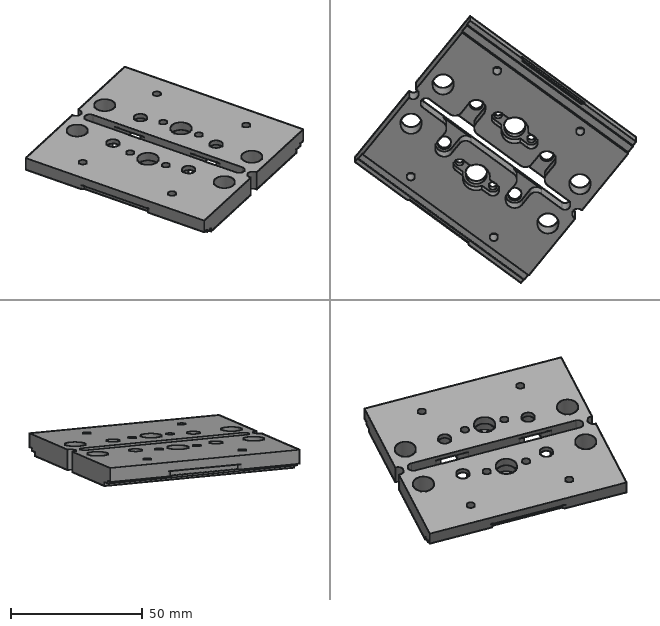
import cadquery as cq
import math

length = 80.0
width = 72.0
height = 8.0

edge_steps = [(2.0, 2.6), (5.0, 1.5)]

recess_length = 30.4
recess_depth = 0.8
recess_end_radius = 1.0
recess_top = 4.5

slot_width = 4.2
slot_length = 71.0
end_web = 2.0
notch_depth = (length - slot_length) / 2 - end_web

middle_hole_x = 17.0
passage_row_y = 10.0
small_hole_x = 8.0
centre_row_y = 12.0

through_holes = [
    (8.1, 33.0, passage_row_y),
    (5.1, middle_hole_x, passage_row_y),
    (8.2, 0.0, centre_row_y),
    (3.1, small_hole_x, centre_row_y),
    (3.1, 20.0, 27.0),
]

passage_width = 7.0
passage_height = 6.0
passage_flare_radius = 3.0

pocket_diameter = 10.4
ear_width = 5.0
pocket_height = 4.5


def mirrored_points(x, y):
    """The distinct mirror images of a point about both centre planes."""
    return [(px, py) for px in sorted({x, -x}) for py in (-y, y)]


def box_on_base(size_x, size_y, size_z):
    return cq.Workplane("XY").box(size_x, size_y, size_z, centered=(True, True, False))


def edge_step(side, inset, top):
    return box_on_base(length, inset, top).translate((0, side * (width - inset) / 2, 0))


def side_recess(side):
    """Recess whose ends are convex arcs running out tangentially into the side face."""
    floor_angle = math.acos(1 - recess_depth / recess_end_radius)

    def end_arc_point(angle):
        x = recess_length / 2 - recess_end_radius * math.sin(angle)
        y = width / 2 - recess_end_radius * (1 - math.cos(angle))
        return x, side * y

    outer_x, outer_y = end_arc_point(0)
    middle_x, middle_y = end_arc_point(floor_angle / 2)
    inner_x, inner_y = end_arc_point(floor_angle)
    profile = (
        cq.Workplane("XY")
        .moveTo(-outer_x, outer_y)
        .threePointArc((-middle_x, middle_y), (-inner_x, inner_y))
        .lineTo(inner_x, inner_y)
        .threePointArc((middle_x, middle_y), (outer_x, outer_y))
        .close()
    )
    return profile.extrude(recess_top)


def end_notch(side):
    end_face = cq.Workplane("XY").center(side * length / 2, 0)
    return end_face.slot2D(2 * notch_depth, slot_width).extrude(height)


def slot_passage(x, y):
    """Round-ended passage from a middle hole to the slot, its mouth flared by two convex arcs."""
    side = math.copysign(1, y)
    half_width = passage_width / 2
    mouth_half_width = half_width + passage_flare_radius
    mouth_y = side * slot_width / 2
    flare_start_y = mouth_y + side * passage_flare_radius
    arc_reach = passage_flare_radius * math.sqrt(0.5)
    arc_half_width = mouth_half_width - arc_reach
    arc_y = flare_start_y - side * arc_reach
    return (
        cq.Workplane("XY")
        .moveTo(x - mouth_half_width, mouth_y)
        .threePointArc((x - arc_half_width, arc_y), (x - half_width, flare_start_y))
        .lineTo(x - half_width, y)
        .threePointArc((x, y + side * half_width), (x + half_width, y))
        .lineTo(x + half_width, flare_start_y)
        .threePointArc((x + arc_half_width, arc_y), (x + mouth_half_width, mouth_y))
        .close()
        .extrude(passage_height)
    )


def eared_pocket(y):
    """Round pocket around a centre hole with a straight-sided ear reaching past each small hole."""
    base = cq.Workplane("XY").center(0, y)
    ears = base.slot2D(2 * small_hole_x + ear_width, ear_width).extrude(pocket_height)
    return ears.union(base.circle(pocket_diameter / 2).extrude(pocket_height))


plate = box_on_base(length, width, height)
plate = plate.cut(cq.Workplane("XY").slot2D(slot_length, slot_width).extrude(height))

for side in (-1, 1):
    for inset, top in edge_steps:
        plate = plate.cut(edge_step(side, inset, top))
    plate = plate.cut(side_recess(side))
    plate = plate.cut(end_notch(side))
    plate = plate.cut(eared_pocket(side * centre_row_y))

for diameter, x, y in through_holes:
    holes = cq.Workplane("XY").pushPoints(mirrored_points(x, y)).circle(diameter / 2).extrude(height)
    plate = plate.cut(holes)

for x, y in mirrored_points(middle_hole_x, passage_row_y):
    plate = plate.cut(slot_passage(x, y))

result = plate